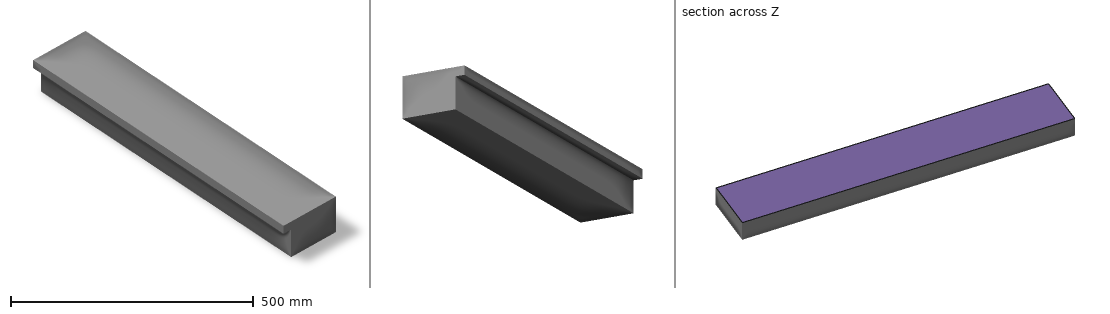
import cadquery as cq

length = 762.0
depth = 146.0
height = 92.0

lip_thickness = 20.5
lip_overhang = 21.0

body_depth = depth - lip_overhang
body = cq.Workplane("XY").box(length, body_depth, height, centered=(True, False, False))

lip = (
    cq.Workplane("XY")
    .box(length, lip_overhang, lip_thickness, centered=(True, False, False))
    .translate((0, -lip_overhang, height - lip_thickness))
)

result = body.union(lip, clean=True).clean()